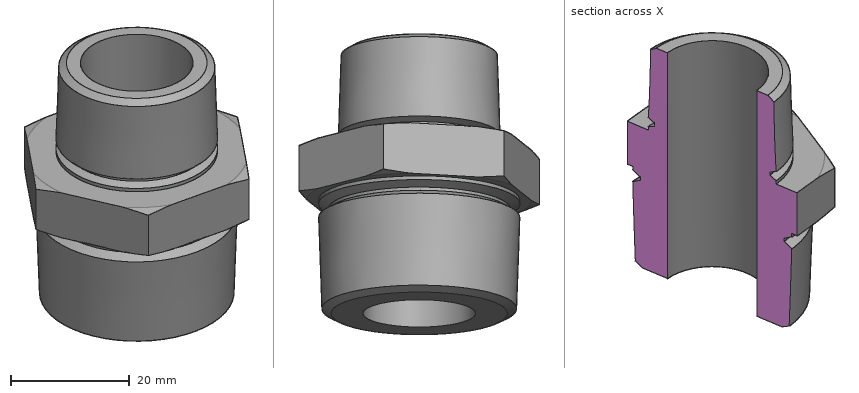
import cadquery as cq
import math

total_height = 45.5
hex_bottom = 19.6
hex_top = 28.35
end_chamfer_height = 0.8

hex_across_flats = 36.0
hex_across_corners = hex_across_flats / math.cos(math.radians(30))
hex_face_radius = 18.9
hex_chamfer_height = 0.45

lower_wide_radius = 16.93
lower_narrow_radius = 16.4
lower_tip_radius = 14.85
upper_wide_radius = 13.6
upper_narrow_radius = 13.15
upper_tip_radius = 11.85

shoulder_height = 0.65
lower_root_radius = 15.35
lower_groove_side = 0.9
upper_root_radius = 12.3
upper_groove_side = 0.65
root_width = 0.55

bore_radius = 9.45


def revolved(profile):
    """Revolve a list of (radius, height) points about the Z axis."""
    return (
        cq.Workplane("XZ")
        .polyline(profile)
        .close()
        .revolve(360, (0, 0, 0), (0, 1, 0))
    )


def tapered_end(collar_z, tip_z, wide, narrow, tip, root, groove_side):
    """Make one male end, running from the collar face out to its tip."""
    outward = math.copysign(1, tip_z - collar_z)
    groove_start = collar_z + outward * shoulder_height
    root_start = groove_start + outward * groove_side
    root_end = root_start + outward * root_width
    groove_end = root_end + outward * groove_side
    chamfer_start = tip_z - outward * end_chamfer_height
    return revolved([
        (0, collar_z),
        (wide, collar_z),
        (wide, groove_start),
        (root, root_start),
        (root, root_end),
        (wide, groove_end),
        (narrow, chamfer_start),
        (tip, tip_z),
        (0, tip_z),
    ])


def hex_collar():
    """Make the hexagon with its corners turned off at both faces."""
    corner_radius = hex_across_corners / 2
    hexagon = (
        cq.Workplane("XY")
        .workplane(offset=hex_bottom)
        .polygon(6, hex_across_corners)
        .extrude(hex_top - hex_bottom)
    )
    turned_envelope = revolved([
        (0, hex_bottom),
        (hex_face_radius, hex_bottom),
        (corner_radius, hex_bottom + hex_chamfer_height),
        (corner_radius, hex_top - hex_chamfer_height),
        (hex_face_radius, hex_top),
        (0, hex_top),
    ])
    return hexagon.intersect(turned_envelope)


lower_end = tapered_end(
    hex_bottom, 0, lower_wide_radius, lower_narrow_radius,
    lower_tip_radius, lower_root_radius, lower_groove_side,
)
upper_end = tapered_end(
    hex_top, total_height, upper_wide_radius, upper_narrow_radius,
    upper_tip_radius, upper_root_radius, upper_groove_side,
)
bore = cq.Workplane("XY").circle(bore_radius).extrude(total_height)

result = hex_collar().union(lower_end).union(upper_end).cut(bore)